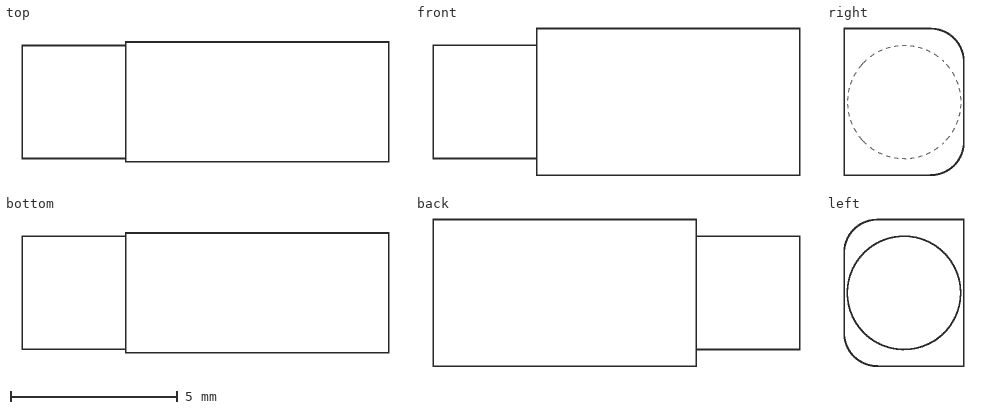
import cadquery as cq

total_length = 11.0
body_width = 3.6
body_height = 4.4
corner_radius = 1.0
pin_diameter = 3.4
pin_length = 3.1

body_length = total_length - pin_length


def make_body():
    """Rectangular block with both long edges of its +Y side rounded."""
    block = cq.Workplane("XY").box(body_length, body_width, body_height)
    return block.edges("|X and >Y").fillet(corner_radius)


def add_pin(body):
    """Round pin standing centred on the -X end of the block."""
    return body.faces("<X").workplane(origin=(0, 0, 0)).circle(pin_diameter / 2).extrude(pin_length)


result = add_pin(make_body())